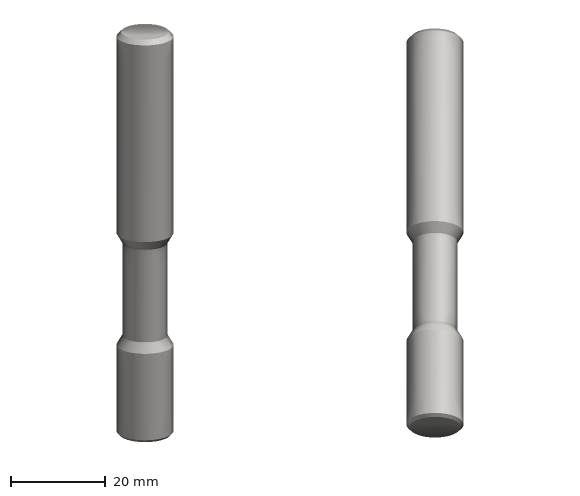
import cadquery as cq

length = 90.0
body_radius = 6.0

neck_radius = 4.8
lower_shoulder_z = 20.0
upper_shoulder_z = 45.0
shoulder_height = 2.2

top_chamfer_width = 1.0
top_chamfer_height = 1.0
bottom_chamfer_width = 0.6
bottom_chamfer_height = 0.6

profile = [
    (0, 0),
    (body_radius - bottom_chamfer_width, 0),
    (body_radius, bottom_chamfer_height),
    (body_radius, lower_shoulder_z),
    (neck_radius, lower_shoulder_z + shoulder_height),
    (neck_radius, upper_shoulder_z - shoulder_height),
    (body_radius, upper_shoulder_z),
    (body_radius, length - top_chamfer_height),
    (body_radius - top_chamfer_width, length),
    (0, length),
]

result = cq.Workplane("XZ").polyline(profile).close().revolve(360, (0, 0, 0), (0, 1, 0))